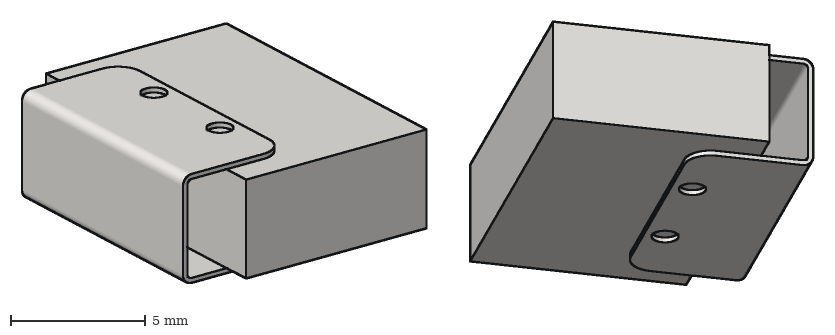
import cadquery as cq

block_width = 12.7
block_depth = 8.29

overall_depth = 10.3
clip_height = 4.4
clip_width = 10.21
flap_length = 4.7
sheet_thickness = 0.2
bend_radius = 0.41
flap_corner_radius = 1.0

hole_diameter = 1.0
hole_spacing = 4.19
hole_edge_distance = 0.81

block_height = clip_height - 2 * sheet_thickness
clip_front_y = -overall_depth
flap_edge_y = clip_front_y + flap_length
clip_centre_y = clip_front_y + flap_length / 2


def make_block():
    """Solid rectangular body lying behind the clip's closed end."""
    return (
        cq.Workplane("XY")
        .box(block_width, block_depth, block_height)
        .translate((0, -block_depth / 2, 0))
    )


def make_clip():
    """Bent strip, open toward +Y, with rounded flap corners and two holes per flap."""
    outer = (
        cq.Workplane("XY")
        .box(clip_width, flap_length, clip_height)
        .translate((0, clip_centre_y, 0))
        .edges("<Y and |X")
        .fillet(bend_radius)
        .edges(">Y and |Z")
        .fillet(flap_corner_radius)
    )
    inner = (
        cq.Workplane("XY")
        .box(clip_width, flap_length, block_height)
        .translate((0, clip_centre_y + sheet_thickness, 0))
        .edges("<Y and |X")
        .fillet(bend_radius - sheet_thickness)
    )
    holes = (
        cq.Workplane("XY")
        .center(0, flap_edge_y - hole_edge_distance)
        .rarray(hole_spacing, 0.13, 2, 1)
        .circle(hole_diameter / 2)
        .extrude(clip_height / 2, both=True)
    )
    return outer.cut(inner).cut(holes)


result = make_block().union(make_clip())